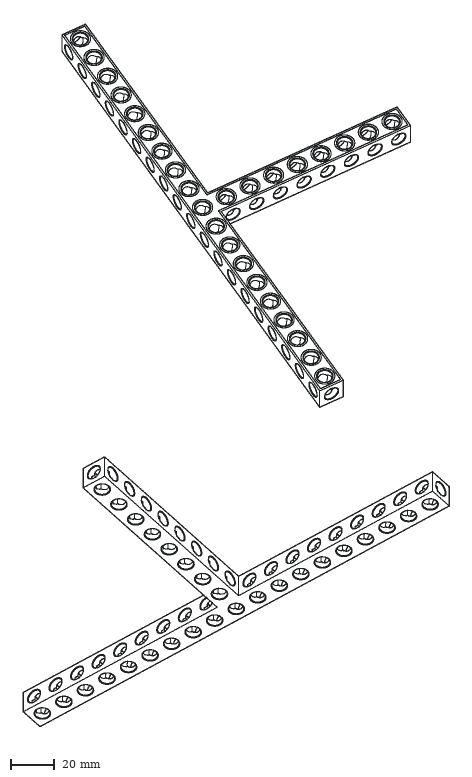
import cadquery as cq

beam_length = 237.5
beam_cells = 19
stem_cells = 9
pitch = beam_length / beam_cells
half_pitch = pitch / 2
stem_length = stem_cells * pitch
stem_cell = beam_cells // 2

hole_diameter = 7.0
mouth_diameter = 7.5
mouth_depth = 0.2

layer_height = 0.12
layer_inset = 1.0
layer_hole_diameter = 9.3

base_height = pitch - layer_height

x_axis = cq.Vector(1, 0, 0)
y_axis = cq.Vector(0, 1, 0)
z_axis = cq.Vector(0, 0, 1)


def cell_centre(index):
    return (index + 0.5) * pitch


def tee(bottom, height, inset):
    """T-shaped plate with its whole outline moved inward by the inset."""
    width = pitch - 2 * inset
    beam = cq.Workplane().box(beam_length - 2 * inset, width, height, centered=False)
    stem = cq.Workplane().box(width, stem_length - 2 * inset, height, centered=False)
    stem = stem.translate((stem_cell * pitch, 0, 0))
    return beam.union(stem).translate((inset, inset, bottom))


def bevelled_hole(start, axis, length):
    """Cutter for a through hole with a bevel at each end."""
    end = start + axis * length
    hole_radius = hole_diameter / 2
    mouth_radius = mouth_diameter / 2
    hole = cq.Solid.makeCylinder(hole_radius, length, start, axis)
    start_mouth = cq.Solid.makeCone(mouth_radius, hole_radius, mouth_depth, start, axis)
    end_mouth = cq.Solid.makeCone(mouth_radius, hole_radius, mouth_depth, end, axis * -1)
    return hole.fuse(start_mouth, end_mouth)


def drill(body, cutters):
    for cutter in cutters:
        body = body.cut(cq.Workplane(cutter))
    return body


beam_centres = [cell_centre(i) for i in range(beam_cells)]
stem_centres = [cell_centre(i) for i in range(1, stem_cells)]
stem_x = cell_centre(stem_cell)
top_points = [(x, half_pitch) for x in beam_centres] + [(stem_x, y) for y in stem_centres]

layer_openings = (
    cq.Workplane(origin=(0, 0, base_height))
    .pushPoints(top_points)
    .circle(layer_hole_diameter / 2)
    .extrude(layer_height)
)
layer = tee(base_height, layer_height, layer_inset).cut(layer_openings)
body = tee(0, base_height, 0).union(layer)

body = drill(body, [bevelled_hole(cq.Vector(x, y, 0), z_axis, base_height) for x, y in top_points])

for cell, x in enumerate(beam_centres):
    depth = stem_length if cell == stem_cell else pitch
    body = drill(body, [bevelled_hole(cq.Vector(x, 0, half_pitch), y_axis, depth)])

body = drill(body, [bevelled_hole(cq.Vector(0, half_pitch, half_pitch), x_axis, beam_length)])
stem_left = stem_cell * pitch
body = drill(body, [bevelled_hole(cq.Vector(stem_left, y, half_pitch), x_axis, pitch) for y in stem_centres])

result = body